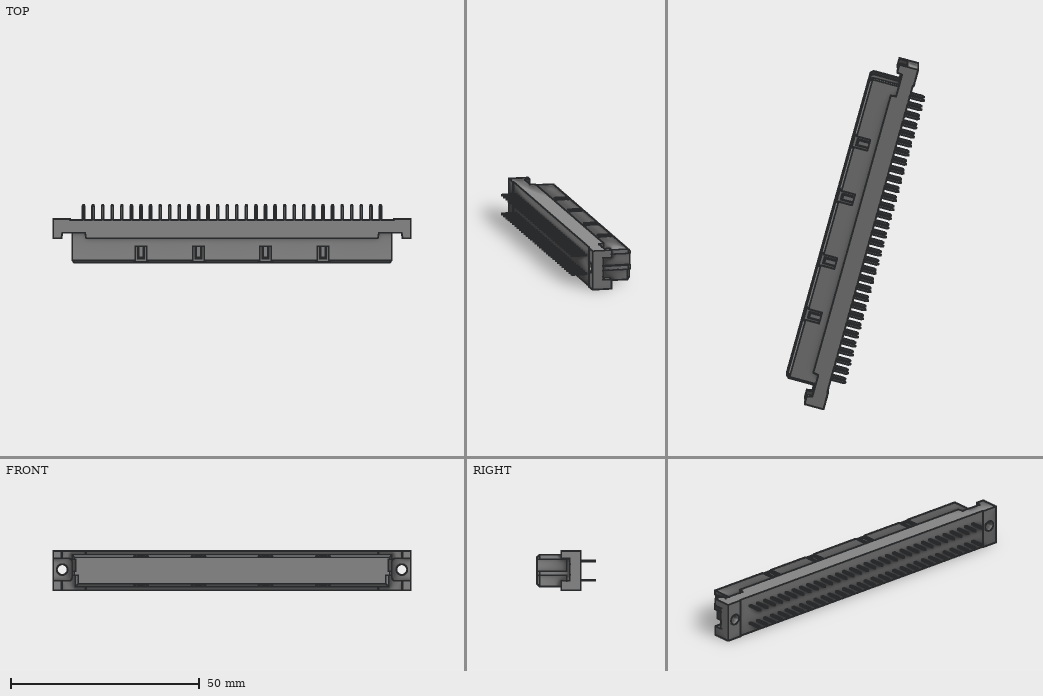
import cadquery as cq


total_length = 94.85
total_depth = 15.44
total_height = 10.5

pitch = 2.54
pin_count = 32
row_spacing = 2 * pitch
pin_width = 0.6
pin_thickness = 0.3
pin_length = 3.8
pin_tip = 0.5
pin_tip_width = 0.2
pin_root = 1.0

flange_depth = 5.2
pad_step = 0.25
pad_length = 4.5
leg_length = 2.2
notch_end = 8.75
notch_floor = 3.75
notch_draft = 0.25

pocket_floor = 2.9
pocket_length = 5.0
pocket_top = 3.26
pocket_bottom = -2.72
pocket_corner = 0.9
hole_diameter = 2.8
hole_inset = 2.4

body_front = total_depth - pin_length
body_length = total_length - 2 * pocket_length
body_height = 8.45
edge_chamfer = 0.7
end_chamfer = 0.6

recess_top = 3.05
ridge_top = -0.14
ridge_bottom = -1.26
recess_depth = 0.95
recess_start = notch_floor
step_depth = 0.9
step_chamfer = 0.7
step_start = notch_floor

slot_pitches = (-9.5, -3.5, 3.5, 9.5)
slot_width = 3.0
slot_back = 7.2
slot_depth = 0.5
slot_flare = 0.6
rib_base_width = 1.75
rib_top_width = 1.25
rib_front = 10.55
rib_ramp = 0.4
rib_height = 0.4


def plan(points, z_range):
    """Prism along Z from (x, distance in front of the flange back) points."""
    z0, z1 = z_range
    outline = [(x, -y) for x, y in points]
    return cq.Workplane("XY").workplane(offset=z0).polyline(outline).close().extrude(z1 - z0)


def both_ends(shape):
    return shape.union(shape.mirror("YZ"))


def make_flange():
    end = total_length / 2
    pad_edge = end - pad_length
    leg_edge = end - leg_length
    notch_edge = end - notch_end
    right_side = [
        (pad_edge, pad_step),
        (pad_edge, 0),
        (end, 0),
        (end, flange_depth),
        (leg_edge, flange_depth),
        (leg_edge - notch_draft, notch_floor),
        (notch_edge + notch_draft, notch_floor),
        (notch_edge, flange_depth),
    ]
    left_side = [(-x, y) for x, y in reversed(right_side)]
    return plan(right_side + left_side, (-total_height / 2, total_height / 2))


def make_pocket():
    """Screw pocket and clearance hole at the right end."""
    end = total_length / 2
    wall = end - pocket_length
    pocket = (
        cq.Workplane("XZ")
        .workplane(offset=pocket_floor)
        .moveTo(end, pocket_top)
        .lineTo(wall + pocket_corner, pocket_top)
        .radiusArc((wall, pocket_top - pocket_corner), -pocket_corner)
        .lineTo(wall, pocket_bottom + pocket_corner)
        .radiusArc((wall + pocket_corner, pocket_bottom), -pocket_corner)
        .lineTo(end, pocket_bottom)
        .close()
        .extrude(flange_depth - pocket_floor)
    )
    hole_z = (pocket_top + pocket_bottom) / 2
    hole = (
        cq.Workplane("XZ")
        .center(end - hole_inset, hole_z)
        .circle(hole_diameter / 2)
        .extrude(flange_depth)
    )
    return pocket.union(hole)


def make_body():
    half = body_height / 2
    shoulder = body_front - edge_chamfer
    face_half = half - edge_chamfer
    profile = [
        (-pad_step, -half),
        (-shoulder, -half),
        (-body_front, -face_half),
        (-body_front, face_half),
        (-shoulder, half),
        (-pad_step, half),
    ]
    body = cq.Workplane("YZ").polyline(profile).close().extrude(body_length / 2, both=True)
    return body.cut(both_ends(make_end_relief()))


def make_end_relief():
    """Material removed from the right end of the body."""
    end = body_length / 2
    half = body_height / 2
    shoulder = body_front - edge_chamfer
    corner = plan([(end - end_chamfer, body_front), (end, body_front), (end, shoulder)], (-half, half))

    recess_wall = end - recess_depth
    recess = (
        cq.Workplane("XY")
        .workplane(offset=ridge_top)
        .moveTo(end, -recess_start)
        .radiusArc((recess_wall, -recess_start - recess_depth), -recess_depth)
        .lineTo(recess_wall, -body_front)
        .lineTo(end, -body_front)
        .close()
        .extrude(recess_top - ridge_top)
    )

    step_wall = end - step_depth
    step = plan(
        [
            (end, step_start),
            (step_wall, step_start),
            (step_wall, shoulder),
            (step_wall - step_chamfer, body_front),
            (end, body_front),
        ],
        (-half, ridge_bottom),
    )
    return corner.union(recess).union(step)


def make_slot():
    """Keying slot in the top face at X = 0, leaving a ramped rib standing on its floor."""
    top = body_height / 2
    floor = top - slot_depth
    shoulder = body_front - edge_chamfer
    mouth = slot_width / 2 + slot_flare
    slot = plan(
        [
            (-slot_width / 2, slot_back),
            (slot_width / 2, slot_back),
            (slot_width / 2, shoulder),
            (mouth, body_front),
            (-mouth, body_front),
            (-slot_width / 2, shoulder),
        ],
        (floor, top),
    )
    section = [
        (-rib_base_width / 2, floor),
        (rib_base_width / 2, floor),
        (rib_top_width / 2, floor + rib_height),
        (-rib_top_width / 2, floor + rib_height),
    ]
    rib = (
        cq.Workplane("XZ")
        .workplane(offset=slot_back)
        .polyline(section)
        .close()
        .extrude(rib_front - slot_back)
    )
    ramp = (
        cq.Workplane("YZ")
        .polyline([(-rib_front, floor), (-rib_front, top), (-rib_front + rib_ramp, floor + rib_height)])
        .close()
        .extrude(rib_base_width, both=True)
    )
    return slot.cut(rib.cut(ramp))


def make_pin():
    """Solder tail at X = 0, Z = 0, rooted inside the flange and tapered at its tip."""
    half = pin_width / 2
    tip_half = pin_tip_width / 2
    outline = [
        (-half, pin_root),
        (half, pin_root),
        (half, pin_tip - pin_length),
        (tip_half, -pin_length),
        (-tip_half, -pin_length),
        (-half, pin_tip - pin_length),
    ]
    return plan(outline, (-pin_thickness / 2, pin_thickness / 2))


result = make_flange().union(make_body()).cut(both_ends(make_pocket()))

upper_slot = make_slot()
lower_slot = upper_slot.mirror("XY")
for slot_pitch in slot_pitches:
    for slot_shape in (upper_slot, lower_slot):
        result = result.cut(slot_shape.translate((slot_pitch * pitch, 0, 0)))

pin = make_pin().val()
pins = []
for column in range(pin_count):
    pin_x = (column - (pin_count - 1) / 2) * pitch
    for pin_z in (-row_spacing / 2, row_spacing / 2):
        pins.append(pin.translate(cq.Vector(pin_x, 0, pin_z)))
result = cq.Workplane(result.val().fuse(*pins))